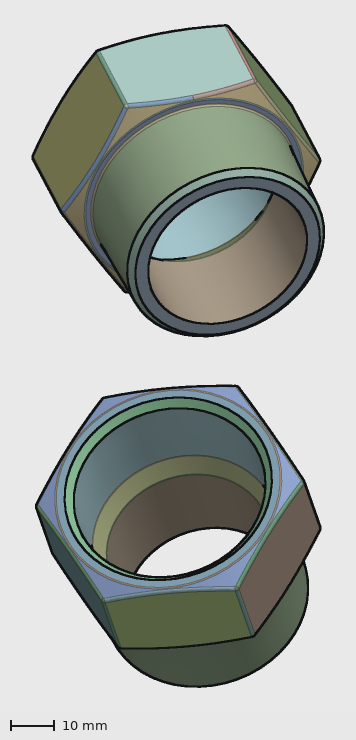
import cadquery as cq
import math

corner_width = 62.05
hex_length = 26.0
edge_radius = 1.0
end_face_radius = 26.05
end_cone_angle = 22.0

total_length = 51.0
spigot_root_radius = 24.25
taper_slope = 1 / 32
spigot_chamfer = 1.5
root_fillet = 0.45

mouth_radius = 23.95
mouth_chamfer = 1.8
socket_depth = 22.2
bore_radius = 19.0
shoulder_length = 4.35
shoulder_fillet = 0.5

corner_loss = edge_radius * (2 / math.sqrt(3) - 1)
sharp_corner_width = corner_width + 2 * corner_loss


def revolve_about_x(profile):
    """Turn a closed (x, radius) outline about the X axis."""
    return cq.Workplane("XZ").polyline(profile).close().revolve(360, (0, 0), (1, 0))


def make_hexagon():
    """Hexagon with both ends coned off and its outer edges rounded."""
    prism = cq.Workplane("YZ").polygon(6, sharp_corner_width).extrude(hex_length)
    cone_rise = sharp_corner_width / 2 - end_face_radius
    cone_length = cone_rise * math.tan(math.radians(end_cone_angle))
    envelope = revolve_about_x([
        (0, 0),
        (0, end_face_radius),
        (cone_length, sharp_corner_width / 2),
        (hex_length - cone_length, sharp_corner_width / 2),
        (hex_length, end_face_radius),
        (hex_length, 0),
    ])
    coned = prism.edges("|X").fillet(edge_radius).intersect(envelope)
    return coned.edges("not |X").fillet(edge_radius)


def make_spigot():
    """Tapered spigot, rounded into the hexagon and chamfered at its free end."""
    taper_start = hex_length + root_fillet
    taper_end = total_length - spigot_chamfer
    taper_end_radius = spigot_root_radius - (taper_end - taper_start) * taper_slope
    return (
        cq.Workplane("XZ")
        .moveTo(hex_length / 2, 0)
        .lineTo(hex_length / 2, spigot_root_radius + root_fillet)
        .lineTo(hex_length, spigot_root_radius + root_fillet)
        .radiusArc((taper_start, spigot_root_radius), -root_fillet)
        .lineTo(taper_end, taper_end_radius)
        .lineTo(total_length, taper_end_radius - spigot_chamfer)
        .lineTo(total_length, 0)
        .close()
        .revolve(360, (0, 0), (1, 0))
    )


def make_bore():
    """Chamfered mouth, tapered socket, coned shoulder with rounded edges and plain bore."""
    socket_radius = mouth_radius - mouth_chamfer
    socket_end_radius = socket_radius - (socket_depth - mouth_chamfer) * taper_slope
    shoulder_end = socket_depth + shoulder_length
    bore = revolve_about_x([
        (0, 0),
        (0, mouth_radius),
        (mouth_chamfer, socket_radius),
        (socket_depth, socket_end_radius),
        (shoulder_end, bore_radius),
        (total_length, bore_radius),
        (total_length, 0),
    ])
    near = 0.6
    shoulder_circles = cq.selectors.BoxSelector(
        (socket_depth - near, -near, -near),
        (shoulder_end + near, near, near),
    )
    return bore.edges(shoulder_circles).fillet(shoulder_fillet)


result = make_hexagon().union(make_spigot()).cut(make_bore())